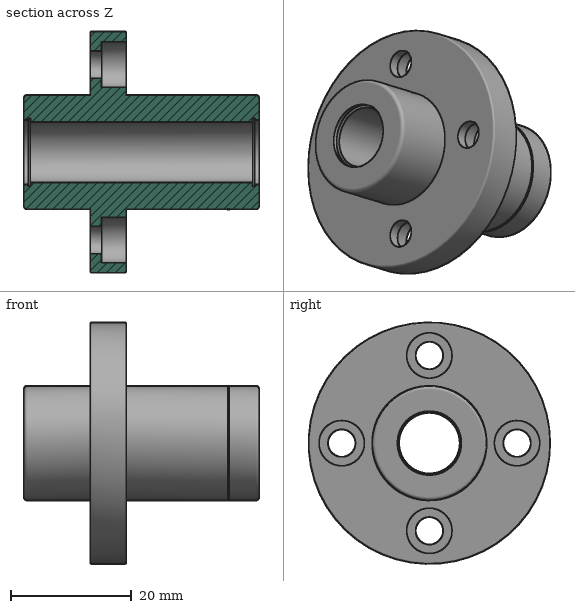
import cadquery as cq


sleeve_length = 39.0
sleeve_diameter = 19.0
sleeve_edge_radius = 0.6

bore_diameter = 10.0
mouth_diameter = 10.6
mouth_depth = 0.75
retaining_groove_diameter = 11.2
retaining_groove_width = 0.35

groove_start = 33.75
groove_width = 0.25
groove_depth = 0.1

flange_diameter = 40.0
flange_thickness = 6.0
flange_start = 11.0
flange_edge_radius = 0.3

screw_count = 4
screw_circle_diameter = 29.0
screw_hole_diameter = 4.5
screw_head_diameter = 7.5
screw_head_depth = 4.1


def cylinder(start, length, diameter):
    """Solid cylinder along +X, starting at X = start."""
    return cq.Workplane("YZ", origin=(start, 0, 0)).circle(diameter / 2).extrude(length)


def make_sleeve():
    return cylinder(0, sleeve_length, sleeve_diameter).edges().fillet(sleeve_edge_radius)


def make_flange():
    disc = cylinder(flange_start, flange_thickness, flange_diameter)
    return disc.edges().fillet(flange_edge_radius)


def cut_ring_groove(body):
    ring = cylinder(groove_start, groove_width, sleeve_diameter).cut(
        cylinder(groove_start, groove_width, sleeve_diameter - 2 * groove_depth)
    )
    return body.cut(ring)


def cut_bore(body):
    body = body.cut(cylinder(0, sleeve_length, bore_diameter))
    front_mouth = cylinder(0, mouth_depth, mouth_diameter).union(
        cylinder(mouth_depth, retaining_groove_width, retaining_groove_diameter)
    )
    rear_mouth = front_mouth.mirror("YZ", (sleeve_length / 2, 0, 0))
    return body.cut(front_mouth).cut(rear_mouth)


def cut_screw_holes(body):
    flange_end = flange_start + flange_thickness

    def drill(start, length, diameter):
        pattern = cq.Workplane("YZ", origin=(start, 0, 0)).polarArray(
            screw_circle_diameter / 2, 0, 360, screw_count
        )
        return pattern.circle(diameter / 2).extrude(length)

    body = body.cut(drill(flange_start, flange_thickness, screw_hole_diameter))
    return body.cut(drill(flange_end - screw_head_depth, screw_head_depth, screw_head_diameter))


body = make_sleeve().union(make_flange())
body = cut_ring_groove(body)
body = cut_bore(body)
result = cut_screw_holes(body)